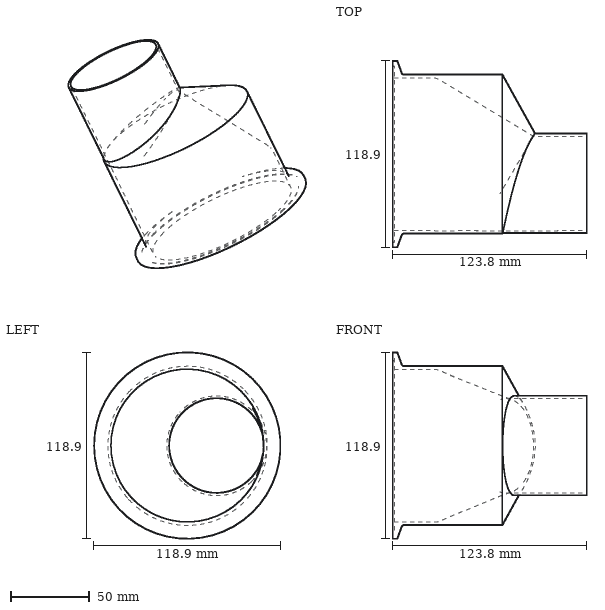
import cadquery as cq
import math

length = 123.8

large_diameter = 101.5
large_bore = 97.3
large_end = 70.0

small_diameter = 63.5
small_bore = 60.2
small_offset = (large_bore - small_bore) / 2

cone_angle = math.radians(29)

funnel_start = 25.8
bend_radius = 7.4
bend_angle = math.radians(31)
bend_steps = 4
funnel_low_end = 54.5

flange_diameter = 118.9
flange_rim = 3.1
flange_back_angle = math.radians(20)
flange_edge_fillet = 0.4
flange_root_fillet = 1.2

groove_diameter = 110.5
groove_width = 3.0
groove_depth = 1.1

large_radius = large_diameter / 2
bore_radius = large_bore / 2
small_radius = small_diameter / 2
small_bore_radius = small_bore / 2
flange_radius = flange_diameter / 2
groove_radius = groove_diameter / 2


def rod(radius, start, end, offset=0.0):
    """Solid rod along X whose axis is moved toward -Y by the offset."""
    return cq.Workplane("YZ", origin=(start, -offset, 0)).circle(radius).extrude(end - start)


def round_section():
    """Half section of the flange, large tube and outer cone, with groove and rounded corners."""
    rim_front = (0, flange_radius)
    rim_back = (flange_rim, flange_radius)
    back_depth = (flange_radius - large_radius) * math.tan(flange_back_angle)
    root = (flange_rim + back_depth, large_radius)
    cone_start = (large_end, large_radius)
    cone_tip = (large_end + large_radius * math.tan(cone_angle), 0)
    outline = [(0, 0), rim_front, rim_back, root, cone_start, cone_tip, (0, 0)]

    groove_arc_radius = (groove_width**2 / 4 + groove_depth**2) / (2 * groove_depth)
    groove_center = (groove_depth - groove_arc_radius, groove_radius)
    lips = [(0, groove_radius + side * groove_width / 2) for side in (-1, 1)]

    section = cq.Sketch().polygon(outline)
    section = section.push([groove_center]).circle(groove_arc_radius, mode="s").reset()
    rounded_corners = [(root, flange_root_fillet)]
    rounded_corners += [(corner, flange_edge_fillet) for corner in [rim_front, rim_back] + lips]
    for (x, y), radius in rounded_corners:
        corner = cq.selectors.NearestToPointSelector((x, y, 0))
        section = section.vertices(corner).fillet(radius).reset()
    return section


def outer_body():
    """Flange, large tube, outer cone and small tube, still without the bore."""
    round_body = cq.Workplane("XY").placeSketch(round_section()).revolve(360, (0, 0, 0), (1, 0, 0))
    return round_body.union(rod(small_radius, large_end, length, small_offset))


def funnel_ring(position, drop):
    """Circle across X that keeps the lowest bore line and comes in by the drop on the +Y side."""
    center = cq.Vector(position, -drop / 2, 0)
    radius = bore_radius - drop / 2
    return cq.Wire.makeEllipse(radius, radius, center, cq.Vector(1, 0, 0), cq.Vector(0, 1, 0))


def funnel_mouth(low_end, high_end):
    """Ellipse where a tilted plane cuts the small bore, from low_end at -Y to high_end at +Y."""
    center = cq.Vector((low_end + high_end) / 2, -small_offset, 0)
    long_axis = cq.Vector((high_end - low_end) / 2, small_bore_radius, 0)
    normal = cq.Vector(long_axis.y, -long_axis.x, 0)
    return cq.Wire.makeEllipse(long_axis.Length, small_bore_radius, center, normal, long_axis)


def funnel():
    """Rounded bend, slanted walls and small bore as one solid to cut away."""
    bend_rings = []
    for step in range(bend_steps + 1):
        angle = bend_angle * step / bend_steps
        position = funnel_start + bend_radius * math.sin(angle)
        bend_rings.append(funnel_ring(position, bend_radius * (1 - math.cos(angle))))
    bend = cq.Solid.makeLoft(bend_rings)

    bend_end = funnel_start + bend_radius * math.sin(bend_angle)
    bend_drop = bend_radius * (1 - math.cos(bend_angle))
    funnel_high_end = bend_end + (2 * small_offset - bend_drop) / math.tan(bend_angle)
    mouth = funnel_mouth(funnel_low_end, funnel_high_end)
    walls = cq.Solid.makeLoft([bend_rings[-1], mouth], True)
    outlet = rod(small_bore_radius, funnel_low_end, length, small_offset)
    return cq.Workplane(bend).union(cq.Workplane(walls)).union(outlet)


bore = rod(bore_radius, 0, funnel_start).union(funnel())
result = outer_body().cut(bore)